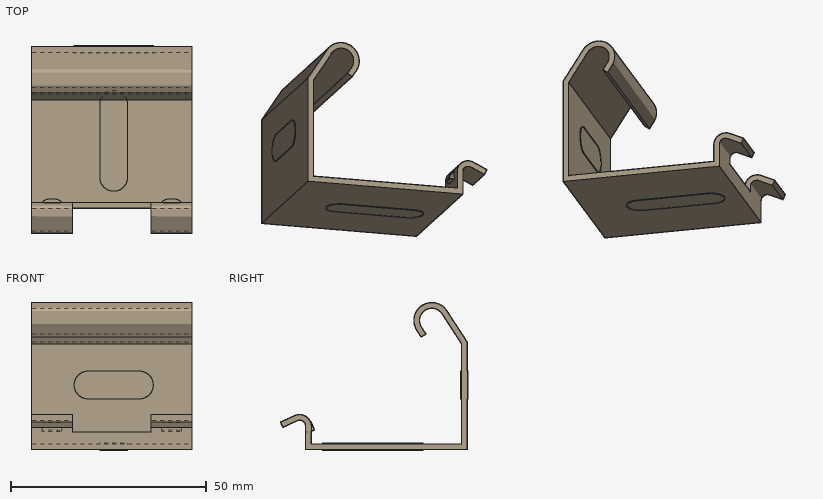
import math

import cadquery as cq

width = 41.0
thickness = 1.5
base_depth = 41.3
wall_height = 27.45

hook_lean = 57.0
hook_outer_radius = 4.6
hook_top = 37.56
hook_tail = 2.1

lip_top = 9.0
lip_outer_radius = 3.0
lip_slope = 25.0
lip_reach = 47.69
lip_gap = 20.0
rim_height = 4.5

pad_rise = 0.2
pad_width = 7.1
pad_offset_x = 0.5
wall_pad_length = 20.2
wall_pad_height = 16.5
base_pad_length = 25.7
base_pad_distance = 24.1

barb_tip_height = 5.0
barb_projection = 0.85
barb_flat = 1.5
barb_radius = 2.1
barb_length = 2.2
barb_growth = 1.45
barb_tilt = 23.0


def polar(centre, radius, angle):
    """Point at a radius and an angle in degrees around a centre."""
    turn = math.radians(angle)
    return (centre[0] + radius * math.cos(turn), centre[1] + radius * math.sin(turn))


def extrude_across_width(outline):
    """Extrude a side outline to the full sheet width, centred on X = 0."""
    return outline.extrude(width / 2, both=True)


def profile_plane():
    """Side plane whose coordinates are depth (toward -Y) and height (+Z)."""
    return cq.Workplane(cq.Plane(origin=(0, 0, 0), xDir=(0, -1, 0), normal=(-1, 0, 0)))


def wall_and_hook():
    inner_radius = hook_outer_radius - thickness
    lean = math.radians(hook_lean)
    centre_z = hook_top - hook_outer_radius
    centre_depth = (hook_outer_radius + (centre_z - wall_height) * math.cos(lean)) / math.sin(lean)
    centre = (centre_depth, centre_z)
    start = hook_lean + 90
    end = hook_lean - 90
    tail_direction = hook_lean + 180
    outer_end = polar(centre, hook_outer_radius, end)
    inner_end = polar(centre, inner_radius, end)
    inner_corner_z = wall_height - thickness * math.tan((math.pi / 2 - lean) / 2)
    outline = (
        profile_plane()
        .moveTo(0, 0)
        .lineTo(0, wall_height)
        .lineTo(*polar(centre, hook_outer_radius, start))
        .threePointArc(polar(centre, hook_outer_radius, hook_lean), outer_end)
        .lineTo(*polar(outer_end, hook_tail, tail_direction))
        .lineTo(*polar(inner_end, hook_tail, tail_direction))
        .lineTo(*inner_end)
        .threePointArc(polar(centre, inner_radius, hook_lean), polar(centre, inner_radius, start))
        .lineTo(thickness, inner_corner_z)
        .lineTo(thickness, 0)
        .close()
    )
    return extrude_across_width(outline)


def base():
    outline = profile_plane().rect(base_depth, thickness, centered=False)
    return extrude_across_width(outline)


def lip_wall():
    inner_radius = lip_outer_radius - thickness
    inner_face = base_depth - thickness
    centre = (inner_face + lip_outer_radius, lip_top - lip_outer_radius)
    end = 90 - lip_slope
    middle = (180 + end) / 2
    outer_end = polar(centre, lip_outer_radius, end)
    inner_end = polar(centre, inner_radius, end)
    lip_length = (lip_reach - outer_end[0]) / math.cos(math.radians(lip_slope))
    outline = (
        profile_plane()
        .moveTo(inner_face, 0)
        .lineTo(inner_face, centre[1])
        .threePointArc(polar(centre, lip_outer_radius, middle), outer_end)
        .lineTo(*polar(outer_end, lip_length, -lip_slope))
        .lineTo(*polar(inner_end, lip_length, -lip_slope))
        .lineTo(*inner_end)
        .threePointArc(polar(centre, inner_radius, middle), (base_depth, centre[1]))
        .lineTo(base_depth, 0)
        .close()
    )
    gap = (
        cq.Workplane("XY")
        .box(lip_gap, lip_reach, lip_top, centered=(True, True, False))
        .translate((0, -lip_reach, rim_height))
    )
    return extrude_across_width(outline).cut(gap)


def pads():
    pad_thickness = thickness + 2 * pad_rise
    wall_pad = (
        cq.Workplane("XZ", origin=(pad_offset_x, pad_rise, wall_pad_height))
        .slot2D(wall_pad_length, pad_width)
        .extrude(pad_thickness)
    )
    base_pad = (
        cq.Workplane("XY", origin=(pad_offset_x, -base_pad_distance, -pad_rise))
        .slot2D(base_pad_length, pad_width, 90)
        .extrude(pad_thickness)
    )
    return wall_pad.union(base_pad)


def barb(centre_x):
    """Tapered half slot that leans out of the lip wall, square-cut at its lower end."""
    inner_face = base_depth - thickness
    tilt = math.radians(barb_tilt)
    up_the_barb = (0, -math.sin(tilt), math.cos(tilt))
    tip = (centre_x, barb_projection - inner_face, barb_tip_height)
    plane = cq.Plane(origin=tip, xDir=(1, 0, 0), normal=up_the_barb)

    def half_slot(workplane, size):
        flat = size * barb_flat / 2
        radius = size * barb_radius
        bulge = radius * math.sqrt(0.5)
        return (
            workplane.moveTo(-flat, 0)
            .lineTo(flat, 0)
            .threePointArc((flat + bulge, bulge - radius), (flat + radius, -radius))
            .lineTo(-flat - radius, -radius)
            .threePointArc((-flat - bulge, bulge - radius), (-flat, 0))
            .close()
        )

    lower = half_slot(cq.Workplane(plane), 1)
    body = half_slot(lower.workplane(offset=barb_length), barb_growth).loft(ruled=True)
    keep = (
        cq.Workplane("XY")
        .box(width, inner_face + thickness / 2, lip_top, centered=(True, False, False))
        .translate((0, -inner_face - thickness / 2, 0))
    )
    return body.intersect(keep)


result = wall_and_hook().union(base()).union(lip_wall()).union(pads())
for side in (-1, 1):
    result = result.union(barb(side * (width + lip_gap) / 4))